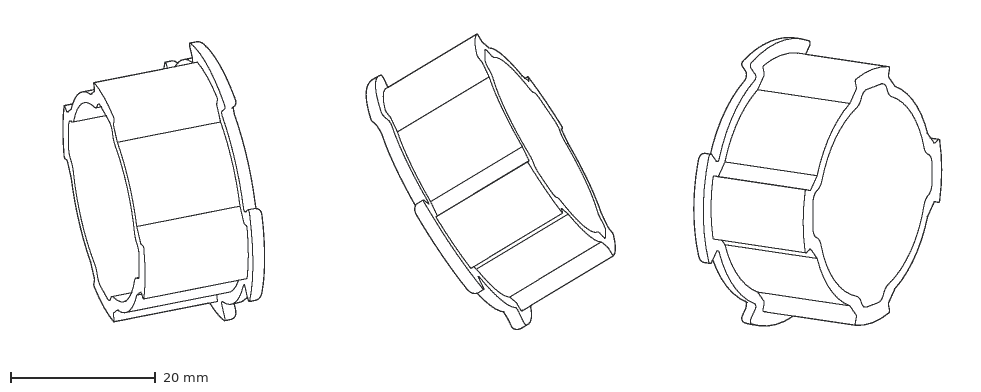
import cadquery as cq
import math

flange_thickness = 2.0
body_length = 15.0
total_length = body_length + flange_thickness
floor_thickness = 2.0
cavity_depth = total_length - floor_thickness

lobe_count = 4

tab_radius = 20.0
disc_radius = 17.2
tab_side_offset = 10.15
tab_corner_radius = 0.48
notch_radius = 0.48
flange_edge_radius = 1.0

pad_radius = 18.0
body_radius = 15.5
pad_corner_x = 4.55
pad_foot_x = 4.1
pad_foot_z = 16.1
pad_corner_radius = 0.28
pad_foot_radius = 0.3

bore_radius = 14.0
pocket_flat = 15.43
pocket_half_width = 1.45
pocket_extra_width = 0.85
pocket_corner_radius = 1.6
neck_radius = 2.0
floor_fillet = 4.0

edge_margin = 0.05


def turn(point, quarter):
    """Rotate a point about the axis by whole quarter turns, counter-clockwise."""
    x, z = point
    for _ in range(quarter):
        x, z = -z, x
    return x, z


def mirror(point):
    """Mirror a point across the centre line of the +Z sector."""
    return -point[0], point[1]


def on_circle(x, radius):
    """The upper point of a circle about the axis at the given x."""
    return x, math.sqrt(radius ** 2 - x ** 2)


def at_angle(center, radius, angle):
    """The point of a circle around any centre at the given angle."""
    return center[0] + radius * math.cos(angle), center[1] + radius * math.sin(angle)


def middle_on_circle(start, end, radius):
    """The point of a circle about the axis halfway between two directions."""
    x = start[0] + end[0]
    z = start[1] + end[1]
    scale = radius / math.hypot(x, z)
    return x * scale, z * scale


def plane_at(y):
    """Sketch plane across the Y axis; negative extrusions go towards +Y."""
    return cq.Workplane("XZ", origin=(0, y, 0))


def diagonal_meets_circle(radius):
    """Where the tab side line z = x + tab_side_offset crosses a circle about the axis."""
    half = tab_side_offset / 2
    return on_circle(math.sqrt(radius ** 2 / 2 - half ** 2) - half, radius)


def lobed_prism(side, lobe_radius, round_radius, y_start, length):
    """Prism with four equal lobes; side runs from the lobe corner down to the round part."""
    sketch = plane_at(y_start).moveTo(*side[0])
    for quarter in range(lobe_count):
        sketch = sketch.threePointArc(turn((0, lobe_radius), quarter), turn(mirror(side[0]), quarter))
        for point in side[1:]:
            sketch = sketch.lineTo(*turn(mirror(point), quarter))
        foot = turn(mirror(side[-1]), quarter)
        next_foot = turn(side[-1], quarter + 1)
        sketch = sketch.threePointArc(middle_on_circle(foot, next_foot, round_radius), next_foot)
        for point in reversed(side[:-1]):
            sketch = sketch.lineTo(*turn(point, quarter + 1))
    return sketch.close().extrude(-length)


def edges_along_y(solid, radius):
    """Edges parallel to Y at the given distance from the axis."""
    low = radius - edge_margin
    high = radius + edge_margin
    return solid.edges("|Y").filter(lambda edge: low < math.hypot(edge.Center().x, edge.Center().z) < high)


def make_flange():
    side = [diagonal_meets_circle(tab_radius), diagonal_meets_circle(disc_radius)]
    flange = lobed_prism(side, tab_radius, disc_radius, body_length, flange_thickness)
    flange = edges_along_y(flange, disc_radius).fillet(notch_radius)
    flange = edges_along_y(flange, tab_radius).fillet(tab_corner_radius)
    return flange.faces(">Y").edges().fillet(flange_edge_radius)


def make_body():
    corner = on_circle(pad_corner_x, pad_radius)
    foot = (pad_foot_x, pad_foot_z)
    reach = pad_foot_x + pad_foot_z
    root_x = (reach + math.sqrt(2 * body_radius ** 2 - reach ** 2)) / 2
    root = (reach - root_x, root_x)
    body = lobed_prism([corner, foot, root], pad_radius, body_radius, 0, body_length)
    body = edges_along_y(body, math.hypot(*foot)).fillet(pad_foot_radius)
    return edges_along_y(body, pad_radius).fillet(pad_corner_radius)


def pocket_side(half_width):
    """Points from the bore to the end of the pocket flat on the +X side of a pocket."""
    corner_center = (half_width, pocket_flat - pocket_corner_radius)
    to_corner = math.hypot(*corner_center)
    to_neck = bore_radius + neck_radius
    between = pocket_corner_radius + neck_radius
    spread = math.acos((to_corner ** 2 + to_neck ** 2 - between ** 2) / (2 * to_corner * to_neck))
    neck_angle = math.atan2(corner_center[1], corner_center[0]) - spread
    neck_center = at_angle((0, 0), to_neck, neck_angle)
    link_angle = math.atan2(neck_center[1] - corner_center[1], neck_center[0] - corner_center[0])
    neck_start = neck_angle - math.pi
    neck_end = link_angle - math.pi
    return [
        at_angle((0, 0), bore_radius, neck_angle),
        at_angle(neck_center, neck_radius, (neck_start + neck_end) / 2),
        at_angle(corner_center, pocket_corner_radius, link_angle),
        at_angle(corner_center, pocket_corner_radius, (link_angle + math.pi / 2) / 2),
        (half_width, pocket_flat),
    ]


def make_cavity():
    wide = pocket_half_width + pocket_extra_width
    narrow = pocket_half_width
    widths = [(wide, narrow), (wide, narrow), (narrow, narrow), (narrow, narrow)]
    sides = []
    for quarter, (first, second) in enumerate(widths):
        leading = [turn(point, quarter) for point in pocket_side(first)]
        trailing = [turn(mirror(point), quarter) for point in reversed(pocket_side(second))]
        sides.append((leading, trailing))
    sketch = plane_at(0).moveTo(*sides[0][0][0])
    for quarter, (leading, trailing) in enumerate(sides):
        sketch = sketch.threePointArc(leading[1], leading[2]).threePointArc(leading[3], leading[4])
        sketch = sketch.lineTo(*trailing[0])
        sketch = sketch.threePointArc(trailing[1], trailing[2]).threePointArc(trailing[3], trailing[4])
        bore_start = trailing[4]
        bore_end = sides[(quarter + 1) % len(sides)][0][0]
        sketch = sketch.threePointArc(middle_on_circle(bore_start, bore_end, bore_radius), bore_end)
    cavity = sketch.close().extrude(-cavity_depth)
    return cavity.faces(">Y").edges().fillet(floor_fillet)


result = make_flange().union(make_body()).cut(make_cavity())